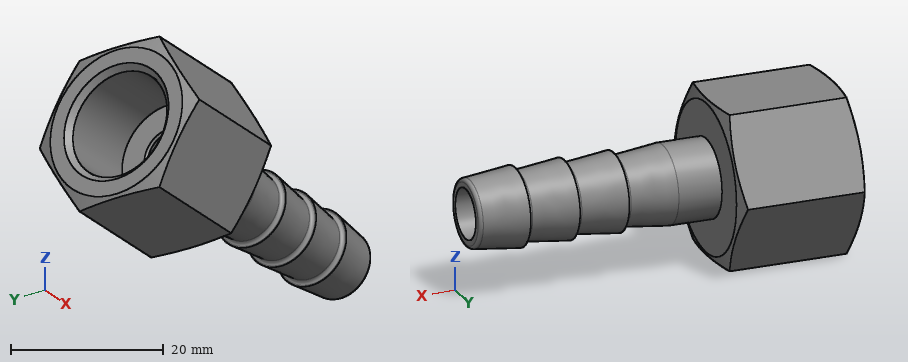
import cadquery as cq
import math

total_length = 52.0

nut_length = 18.0
across_flats = 22.0
across_corners = across_flats / math.cos(math.radians(30))
nut_face_diameter = 21.0
corner_bevel_length = 0.75
nut_bore_diameter = 15.0
nut_mouth_diameter = 16.65
nut_back_wall = 2.9

collar_diameter = 14.65
collar_length = 3.1
shank_diameter = 11.0
barb_root_diameter = 9.5
barb_count = 4
barb_pitch = 6.95
barb_foot_radius = 0.5
tail_bore_diameter = 7.0
bore_chamfer = 0.3

collar_back = nut_length - nut_back_wall
collar_front = collar_back - collar_length
barbs_start = total_length - barb_count * barb_pitch


def revolve_about_x(profile):
    """Revolve a closed profile of (x, radius) in the XY plane about the X axis."""
    return profile.close().revolve(360, (0, 0, 0), (1, 0, 0))


def make_bevel_envelope():
    """Turned shape that cuts the hexagon's corners back at both ends."""
    face_radius = nut_face_diameter / 2
    corner_radius = across_corners / 2
    return revolve_about_x(
        cq.Workplane("XY")
        .moveTo(0, 0)
        .lineTo(0, face_radius)
        .lineTo(corner_bevel_length, corner_radius)
        .lineTo(nut_length - corner_bevel_length, corner_radius)
        .lineTo(nut_length, face_radius)
        .lineTo(nut_length, 0)
    )


def make_nut_cavity():
    """Bore with a 45 degree mouth chamfer, stepping down to the shank hole at the back."""
    bore_radius = nut_bore_diameter / 2
    mouth_radius = nut_mouth_diameter / 2
    shank_radius = shank_diameter / 2
    return revolve_about_x(
        cq.Workplane("XY")
        .moveTo(0, 0)
        .lineTo(0, mouth_radius)
        .lineTo(mouth_radius - bore_radius, bore_radius)
        .lineTo(collar_back, bore_radius)
        .lineTo(collar_back, shank_radius)
        .lineTo(nut_length, shank_radius)
        .lineTo(nut_length, 0)
    )


def make_nut():
    """Hexagonal nut with flats facing +Z and -Z."""
    hexagon = cq.Workplane("YZ").polygon(6, across_corners).extrude(nut_length)
    return hexagon.intersect(make_bevel_envelope()).cut(make_nut_cavity())


def make_tail_outside():
    """Turned outside of the hose tail; each barb tapers towards the free end."""
    collar_radius = collar_diameter / 2
    crest_radius = shank_diameter / 2
    root_radius = barb_root_diameter / 2
    arc_offset = barb_foot_radius * math.sin(math.radians(45))

    profile = (
        cq.Workplane("XY")
        .moveTo(collar_front, 0)
        .lineTo(collar_front, collar_radius)
        .lineTo(collar_back, collar_radius)
        .lineTo(collar_back, crest_radius)
        .lineTo(barbs_start, crest_radius)
    )

    for barb in range(1, barb_count):
        barb_end = barbs_start + barb * barb_pitch
        arc_start = barb_end - barb_foot_radius
        arc_middle = (arc_start + arc_offset, root_radius + barb_foot_radius - arc_offset)
        arc_end = (barb_end, root_radius + barb_foot_radius)
        profile = (
            profile.lineTo(arc_start, root_radius)
            .threePointArc(arc_middle, arc_end)
            .lineTo(barb_end, crest_radius)
        )

    arc_start = total_length - barb_foot_radius
    arc_middle = (arc_start + arc_offset, root_radius - barb_foot_radius + arc_offset)
    arc_end = (total_length, root_radius - barb_foot_radius)
    profile = (
        profile.lineTo(arc_start, root_radius)
        .threePointArc(arc_middle, arc_end)
        .lineTo(total_length, 0)
    )
    return revolve_about_x(profile)


def make_tail_bore():
    """Through bore with a 45 degree chamfer at the collar face."""
    bore_radius = tail_bore_diameter / 2
    return revolve_about_x(
        cq.Workplane("XY")
        .moveTo(collar_front, 0)
        .lineTo(collar_front, bore_radius + bore_chamfer)
        .lineTo(collar_front + bore_chamfer, bore_radius)
        .lineTo(total_length, bore_radius)
        .lineTo(total_length, 0)
    )


def make_hose_tail():
    """Hose tail whose collar rests against the back wall of the nut."""
    return make_tail_outside().cut(make_tail_bore())


nut = make_nut()
hose_tail = make_hose_tail()

result = cq.Compound.makeCompound([nut.val(), hose_tail.val()])